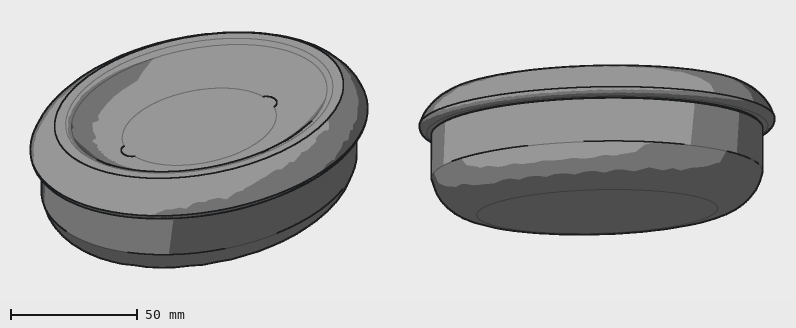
import cadquery as cq
import math


base_radius_x = 51.0
base_radius_y = 65.9
base_height = 32.5
base_curve_height = 15.0
base_curve_inset = 17.8
cutter_margin = 1.4

lid_radius_x = 53.97
lid_radius_y = 70.7
total_height = 47.7
rim_line_z = 36.4
rim_bottom_z = 33.5
rim_top_inset = 9.6
dome_middle_inset = 3.5
dome_middle_z = 42.9
lip_radius = rim_line_z - rim_bottom_z
lip_middle_inset = lip_radius * (1 - math.cos(math.radians(45)))
core_inset = 11.3
core_overlap = 1.4

neck_inset = 5.7

bowl_radius_x = 38.6
bowl_radius_y = 54.0
bowl_floor_radius_x = 23.3
bowl_floor_z = 37.5
bowl_edge_fillet = 2.8
bowl_edge_drop = 1.3
flat_tolerance = 0.1

notch_radius = 4.2
notch_centre_y = 31.0


def oval_plate(radius_x, radius_y, bottom_z, top_z):
    """Solid elliptical plate between two heights."""
    return (
        cq.Workplane("XY")
        .workplane(offset=bottom_z)
        .ellipse(radius_x, radius_y)
        .extrude(top_z - bottom_z)
    )


def make_base():
    """Solid oval base whose lower side curves in to a flat underside."""
    arc_radius = (base_curve_inset**2 + base_curve_height**2) / (2 * base_curve_height)
    half_angle = math.asin(base_curve_inset / arc_radius) / 2
    arc_start = base_radius_x - base_curve_inset
    arc_middle = (
        arc_start + arc_radius * math.sin(half_angle),
        arc_radius * (1 - math.cos(half_angle)),
    )
    path = cq.Workplane("XY").ellipse(base_radius_x, base_radius_y)
    corner = (
        cq.Workplane("XZ")
        .moveTo(arc_start, 0)
        .threePointArc(arc_middle, (base_radius_x, base_curve_height))
        .lineTo(base_radius_x + cutter_margin, base_curve_height)
        .lineTo(base_radius_x + cutter_margin, -cutter_margin)
        .lineTo(arc_start, -cutter_margin)
        .close()
        .sweep(path)
    )
    return oval_plate(base_radius_x, base_radius_y, 0, base_height).cut(corner)


def make_rim_band():
    """Domed rim profile swept at right angles around the oval outline."""
    path = cq.Workplane("XY").ellipse(lid_radius_x, lid_radius_y)
    inner_x = lid_radius_x - core_inset
    return (
        cq.Workplane("XZ")
        .moveTo(inner_x, rim_bottom_z)
        .lineTo(lid_radius_x - lip_radius, rim_bottom_z)
        .threePointArc(
            (lid_radius_x - lip_middle_inset, rim_bottom_z + lip_middle_inset),
            (lid_radius_x, rim_line_z),
        )
        .threePointArc(
            (lid_radius_x - dome_middle_inset, dome_middle_z),
            (lid_radius_x - rim_top_inset, total_height),
        )
        .lineTo(inner_x, total_height)
        .close()
        .sweep(path)
    )


def make_bowl_cutter():
    """Round bowl, its side an arc tangent to the floor, stretched along Y into an oval."""
    run = bowl_radius_x - bowl_floor_radius_x
    rise = total_height - bowl_edge_drop - bowl_floor_z
    arc_radius = (run**2 + rise**2) / (2 * rise)
    top_angle = math.acos(1 - (total_height - bowl_floor_z) / arc_radius)

    def side_point(angle):
        return (
            bowl_floor_radius_x + arc_radius * math.sin(angle),
            bowl_floor_z + arc_radius * (1 - math.cos(angle)),
        )

    round_bowl = (
        cq.Workplane("XZ")
        .moveTo(0, bowl_floor_z)
        .lineTo(bowl_floor_radius_x, bowl_floor_z)
        .threePointArc(side_point(top_angle / 2), side_point(top_angle))
        .lineTo(0, total_height)
        .close()
        .revolve(360, (0, 0, 0), (0, 1, 0))
    )
    stretch = cq.Matrix([
        [1, 0, 0, 0],
        [0, bowl_radius_y / bowl_radius_x, 0, 0],
        [0, 0, 1, 0],
    ])
    return cq.Workplane(round_bowl.val().transformGeometry(stretch))


def make_lid():
    """Rimmed lid standing on a recessed neck, with an oval bowl in its top."""
    core_cover = core_inset - core_overlap
    core = oval_plate(
        lid_radius_x - core_cover, lid_radius_y - core_cover, rim_bottom_z, total_height
    )
    neck = oval_plate(
        lid_radius_x - neck_inset, lid_radius_y - neck_inset, base_height, rim_bottom_z
    )
    lid = core.union(make_rim_band()).union(neck).cut(make_bowl_cutter())

    bowl_edge = cq.selectors.BoxSelector(
        (-bowl_radius_x - bowl_edge_fillet, -bowl_radius_y - bowl_edge_fillet, total_height - flat_tolerance),
        (bowl_radius_x + bowl_edge_fillet, bowl_radius_y + bowl_edge_fillet, total_height + flat_tolerance),
        boundingbox=True,
    )
    lid = lid.edges(bowl_edge).fillet(bowl_edge_fillet)

    notches = (
        cq.Workplane("XY")
        .workplane(offset=bowl_floor_z)
        .pushPoints([(0, -notch_centre_y), (0, notch_centre_y)])
        .circle(notch_radius)
        .extrude(total_height - bowl_floor_z)
    )
    return lid.cut(notches)


base = make_base()
lid = make_lid()

result = cq.Compound.makeCompound([*base.solids().vals(), *lid.solids().vals()])